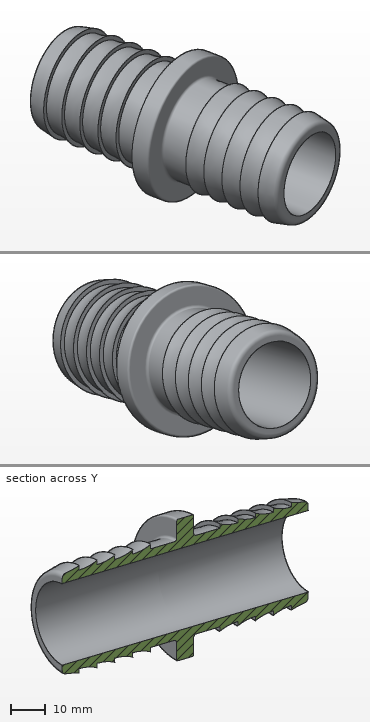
import cadquery as cq
import math

length = 87.9
bore_diameter = 25.4
neck_diameter = 31.0
crest_diameter = 33.75
flange_diameter = 44.5
flange_width = 6.2

lead_in_length = 6.15
lead_in_mouth_diameter = 31.2
barb_row_length = 25.5
concave_barb_count = 4
barb_pitch = barb_row_length / concave_barb_count

mouth_fillet = 1.5
neck_fillet = 0.8
flange_fillet = 0.6

bore_radius = bore_diameter / 2
neck_radius = neck_diameter / 2
crest_radius = crest_diameter / 2
flange_radius = flange_diameter / 2
mouth_radius = lead_in_mouth_diameter / 2
barb_height = crest_radius - neck_radius

barb_arc_radius = (barb_pitch**2 + barb_height**2) / (2 * barb_height)
half_pitch = barb_pitch / 2
barb_mid_radius = neck_radius + barb_arc_radius - math.sqrt(barb_arc_radius**2 - half_pitch**2)


def make_barbed_half():
    """Revolve the solid half of the tube from the -X mouth to the mid plane."""
    mouth_x = -length / 2
    crest_x = mouth_x + lead_in_length
    profile = (
        cq.Workplane("XY")
        .moveTo(mouth_x, 0)
        .lineTo(mouth_x, mouth_radius)
        .lineTo(crest_x, crest_radius)
        .lineTo(crest_x, neck_radius)
    )
    for _ in range(concave_barb_count):
        middle = (crest_x + half_pitch, barb_mid_radius)
        crest_x += barb_pitch
        profile = profile.threePointArc(middle, (crest_x, crest_radius)).lineTo(crest_x, neck_radius)
    half = profile.lineTo(0, neck_radius).lineTo(0, 0).close().revolve(360, (0, 0, 0), (1, 0, 0))
    return half.faces("<X").edges().fillet(mouth_fillet)


def make_flange():
    """Central stop flange with rounded rims."""
    disc = cq.Workplane("YZ").circle(flange_radius).extrude(flange_width / 2, both=True)
    return disc.edges().fillet(flange_fillet)


def make_neck_fillet():
    """Ring with a concave outer arc that fills the corner between the neck and the -X flange face."""
    face_x = -flange_width / 2
    start = (face_x - neck_fillet, neck_radius)
    end = (face_x, neck_radius + neck_fillet)
    arc_offset = neck_fillet * (1 - math.cos(math.pi / 4))
    middle = (face_x - arc_offset, neck_radius + arc_offset)
    return (
        cq.Workplane("XY")
        .moveTo(face_x, bore_radius)
        .lineTo(start[0], bore_radius)
        .lineTo(*start)
        .threePointArc(middle, end)
        .close()
        .revolve(360, (0, 0, 0), (1, 0, 0))
    )


barbed_half = make_barbed_half().union(make_neck_fillet())
bore = cq.Workplane("YZ").circle(bore_radius).extrude(length / 2, both=True)

result = barbed_half.union(barbed_half.mirror("YZ")).union(make_flange()).cut(bore)